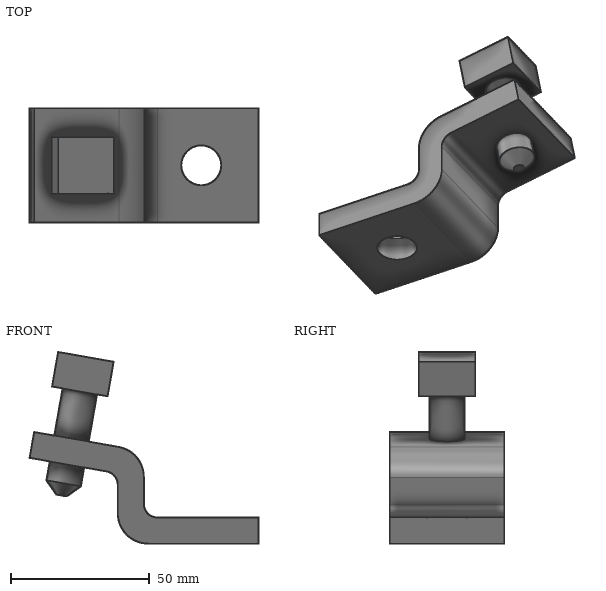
import cadquery as cq
import math

strap_thickness = 9.525
strap_width = 41.275
overall_length = 82.55
base_length = 50.8
arm_tilt = 10.0
corner_height = 33.3375
outer_bend_radius = 11.1125
inner_bend_radius = 4.7625
mount_hole_diameter = 14.2875
mount_hole_inset = 20.6375

shank_diameter = 12.7
head_width = 20.4
head_height = 12.7
bolt_length = 38.1
tip_length = 4.5
tip_diameter = shank_diameter - 2 * tip_length
head_clearance = 17.21
bolt_inset = 13.7

tilt = math.radians(arm_tilt)
slope = math.tan(tilt)
arm_along = (math.cos(tilt), -math.sin(tilt))
arm_normal = (math.sin(tilt), math.cos(tilt))

web_inner_x = overall_length - base_length
web_outer_x = web_inner_x + strap_thickness
arm_end_top_x = strap_thickness * arm_normal[0]
arm_end_top_z = corner_height + (web_outer_x - arm_end_top_x) * slope
arm_end_bottom_z = arm_end_top_z - strap_thickness * arm_normal[1]
inner_corner_z = arm_end_bottom_z - web_inner_x * slope

arm_plane = cq.Plane(
    origin=(
        arm_end_top_x + bolt_inset * arm_along[0],
        0,
        arm_end_top_z + bolt_inset * arm_along[1],
    ),
    xDir=(arm_along[0], 0, arm_along[1]),
    normal=(arm_normal[0], 0, arm_normal[1]),
)


def bend_edges(body, x, z):
    """Select the sharp bend edge that runs along Y through (x, z)."""
    return body.edges(cq.NearestToPointSelector((x, 0, z)))


def make_bracket():
    """Bent strap with rounded bends, a mounting hole and a hole for the bolt."""
    body = (
        cq.Workplane("XZ")
        .moveTo(overall_length, 0)
        .lineTo(web_inner_x, 0)
        .lineTo(web_inner_x, inner_corner_z)
        .lineTo(0, arm_end_bottom_z)
        .lineTo(arm_end_top_x, arm_end_top_z)
        .lineTo(web_outer_x, corner_height)
        .lineTo(web_outer_x, strap_thickness)
        .lineTo(overall_length, strap_thickness)
        .close()
        .extrude(strap_width / 2, both=True)
    )

    bends = [
        (web_inner_x, 0, outer_bend_radius),
        (web_outer_x, corner_height, outer_bend_radius),
        (web_inner_x, inner_corner_z, inner_bend_radius),
        (web_outer_x, strap_thickness, inner_bend_radius),
    ]
    for x, z, radius in bends:
        body = bend_edges(body, x, z).fillet(radius)

    mount_hole = (
        cq.Workplane("XY")
        .center(overall_length - mount_hole_inset, 0)
        .circle(mount_hole_diameter / 2)
        .extrude(strap_thickness)
    )
    bolt_hole = cq.Workplane(arm_plane).circle(shank_diameter / 2).extrude(-strap_thickness)
    return body.cut(mount_hole).cut(bolt_hole)


def make_bolt():
    """Square-headed bolt whose shank fills the arm's hole."""
    head = (
        cq.Workplane(arm_plane)
        .workplane(offset=head_clearance)
        .rect(head_width, head_width)
        .extrude(head_height)
    )
    tip_end = head_clearance - bolt_length
    shank = (
        cq.Workplane(arm_plane)
        .workplane(offset=tip_end + tip_length)
        .circle(shank_diameter / 2)
        .extrude(bolt_length - tip_length)
    )
    tip = (
        cq.Workplane(arm_plane)
        .workplane(offset=tip_end)
        .circle(tip_diameter / 2)
        .workplane(offset=tip_length)
        .circle(shank_diameter / 2)
        .loft(ruled=True)
    )
    return head.union(shank).union(tip)


bracket = make_bracket()
bolt = make_bolt()

result = cq.Compound.makeCompound([bracket.solids().val(), bolt.solids().val()])